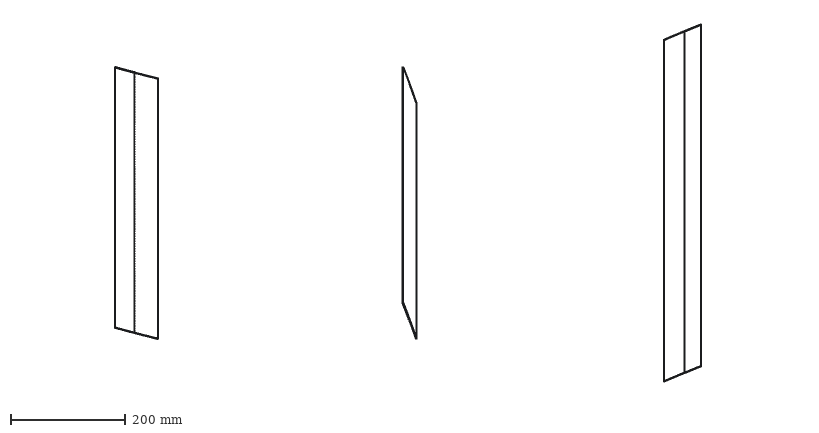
import cadquery as cq
import math

LENGTH = 740.48
CHORD = 79.08
PITCH = 10.84
FRONT_RADIUS = 2300.0
THICK_SIDE = 2.0
THIN_SIDE = 1.5
STEP_OFFSET = -4.0

THICK_BACK_RADIUS = FRONT_RADIUS - THICK_SIDE
THIN_BACK_RADIUS = FRONT_RADIUS - THIN_SIDE
HALF_SWEEP = math.asin(CHORD / 2 / FRONT_RADIUS)
STEP_ANGLE = STEP_OFFSET / FRONT_RADIUS


def arc_point(radius, angle):
    """Point at an angle from mid-chord, on an arc concentric with the front face."""
    return (radius * math.sin(angle), FRONT_RADIUS - radius * math.cos(angle))


def arc_to(profile, radius, start, end):
    """Continue the profile along a concentric arc from one angle to another."""
    middle = (start + end) / 2
    return profile.threePointArc(arc_point(radius, middle), arc_point(radius, end))


def blade_profile():
    """Closed cross-section with its chord along X and its back towards +Y."""
    profile = cq.Workplane("XY").moveTo(*arc_point(FRONT_RADIUS, -HALF_SWEEP))
    profile = arc_to(profile, FRONT_RADIUS, -HALF_SWEEP, HALF_SWEEP)
    profile = profile.lineTo(*arc_point(THIN_BACK_RADIUS, HALF_SWEEP))
    profile = arc_to(profile, THIN_BACK_RADIUS, HALF_SWEEP, STEP_ANGLE)
    profile = profile.lineTo(*arc_point(THICK_BACK_RADIUS, STEP_ANGLE))
    profile = arc_to(profile, THICK_BACK_RADIUS, STEP_ANGLE, -HALF_SWEEP)
    return profile.close()


blade = blade_profile().extrude(LENGTH / 2, both=True)
result = blade.rotate((0, 0, 0), (0, 0, 1), PITCH)